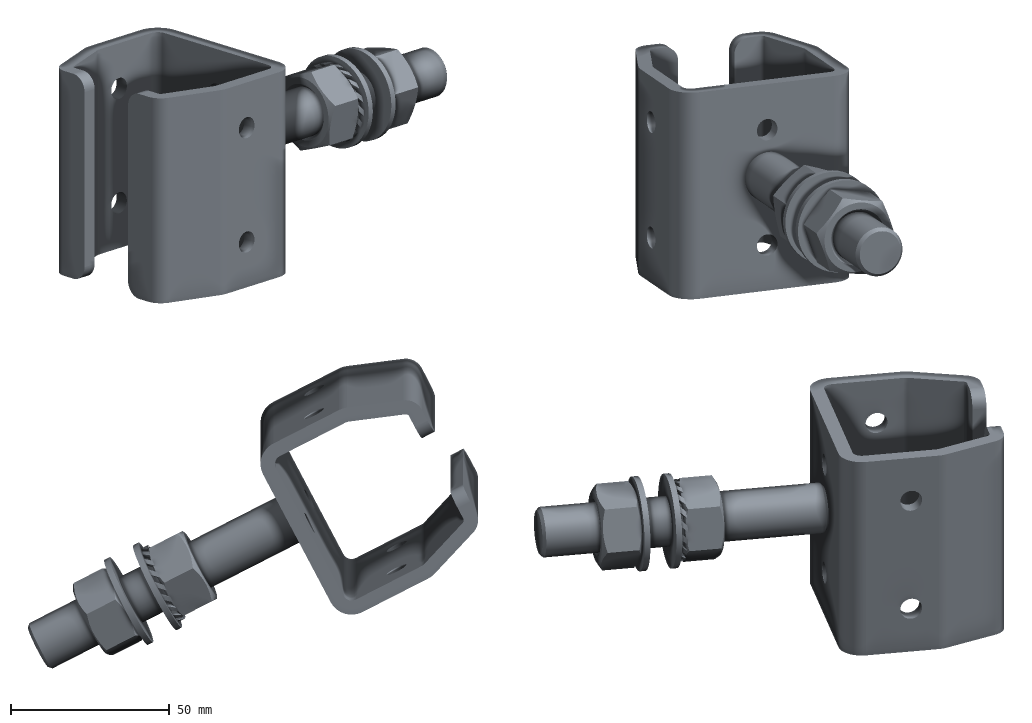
import cadquery as cq
import math


BRACKET_WIDTH = 61.0
BRACKET_DEPTH = 54.0
BRACKET_HEIGHT = 68.0
BRACKET_CENTER_Z = -4.0
SHEET = 4.5
STRAIGHT_SIDE = 32.1
SIDE_LEAN = 20.0
BACK_RADIUS = 7.5
SIDE_RADIUS = 7.5
LIP_RADIUS = 5.7
OPENING = 19.3
LIP_CORNER_RADIUS = 5.0
HOLE_DIAMETER = 7.0
HOLE_SPACING = 38.0
SIDE_HOLE_Y = -21.9

ROD_DIAMETER = 16.0
ROD_LENGTH = 92.0
ROD_CHAMFER = 1.0

NUT_FLATS = 24.0
NUT_FACE_DIAMETER = 22.8
NUT_LENGTH = 13.0
NUT_CHAMFER_ANGLE = 30.0
NUT_COUNTERSINK = 1.2
UPPER_NUT_TURN = 19.5
LOWER_NUT_TURN = 10.0

WASHER_DIAMETER = 30.1
WASHER_THICKNESS = 1.9
LOCK_DIAMETER = 26.0
LOCK_THICKNESS = 1.3
LOCK_TEETH = 18
TOOTH_GAP = 1.8
TOOTH_DEPTH = 1.9
TOOTH_TWIST = 45.0

UPPER_NUT_Y = 60.7
UPPER_WASHER_Y = UPPER_NUT_Y - WASHER_THICKNESS
LOWER_WASHER_Y = 48.6
LOCK_Y = LOWER_WASHER_Y - LOCK_THICKNESS
LOWER_NUT_Y = LOCK_Y - NUT_LENGTH

ROD_RADIUS = ROD_DIAMETER / 2
NUT_FACE_RADIUS = NUT_FACE_DIAMETER / 2
NUT_CORNER_RADIUS = NUT_FLATS / math.sqrt(3)
CORNER_TO_TOP = 30.0
NUT_CHAMFER_SLOPE = math.tan(math.radians(NUT_CHAMFER_ANGLE))


def revolve_about_y(points):
    """Turn a profile of (radius, y) points about the Y axis."""
    profile = [(y, radius) for radius, y in points]
    return cq.Workplane("YZ").polyline(profile).close().revolve(360, (0, 0), (1, 0))


def bracket_block(inset):
    """Solid block with the bracket's outer outline moved inward by inset."""
    half_width = BRACKET_WIDTH / 2
    lean = (BRACKET_DEPTH - STRAIGHT_SIDE) * math.tan(math.radians(SIDE_LEAN))
    right_side = [
        (half_width, 0),
        (half_width, -STRAIGHT_SIDE),
        (half_width - lean, -BRACKET_DEPTH),
    ]
    left_side = [(-x, y) for x, y in reversed(right_side)]
    outline = cq.Workplane("XY", origin=(0, 0, BRACKET_CENTER_Z - BRACKET_HEIGHT / 2))
    outline = outline.polyline(right_side + left_side).close()
    if inset > 0:
        outline = outline.offset2D(-inset, "intersection")
    block = outline.extrude(BRACKET_HEIGHT)
    block = block.edges("|Z").edges(">>Y[1]").fillet(SIDE_RADIUS - inset)
    block = block.edges("|Z").edges(">Y").fillet(BACK_RADIUS - inset)
    return block.edges("|Z").edges("<Y").fillet(LIP_RADIUS - inset)


def make_bracket():
    bracket = bracket_block(0).cut(bracket_block(SHEET))

    opening = cq.Workplane("XY").box(OPENING, 2 * SHEET, 2 * BRACKET_HEIGHT)
    bracket = bracket.cut(opening.translate((0, -BRACKET_DEPTH, BRACKET_CENTER_Z)))
    lip_zone = cq.selectors.BoxSelector(
        (-OPENING, -BRACKET_DEPTH - SHEET, -BRACKET_HEIGHT),
        (OPENING, -BRACKET_DEPTH + SHEET, BRACKET_HEIGHT),
    )
    bracket = bracket.edges("|Y").edges(lip_zone).fillet(LIP_CORNER_RADIUS)

    for z in (BRACKET_CENTER_Z - HOLE_SPACING / 2, BRACKET_CENTER_Z + HOLE_SPACING / 2):
        back_hole = cq.Workplane("XZ", origin=(0, 0, z)).circle(HOLE_DIAMETER / 2).extrude(2 * SHEET)
        side_hole = cq.Workplane("YZ", origin=(0, SIDE_HOLE_Y, z)).circle(HOLE_DIAMETER / 2)
        bracket = bracket.cut(back_hole).cut(side_hole.extrude(BRACKET_WIDTH, both=True))
    return bracket


def make_rod():
    return revolve_about_y([
        (0, 0),
        (ROD_RADIUS - ROD_CHAMFER, 0),
        (ROD_RADIUS, ROD_CHAMFER),
        (ROD_RADIUS, ROD_LENGTH - ROD_CHAMFER),
        (ROD_RADIUS - ROD_CHAMFER, ROD_LENGTH),
        (0, ROD_LENGTH),
    ])


def make_nut(start_y, turn):
    """Hexagon nut, corners chamfered and bore countersunk at both ends."""
    end_y = start_y + NUT_LENGTH
    chamfer = (NUT_CORNER_RADIUS - NUT_FACE_RADIUS) * NUT_CHAMFER_SLOPE
    envelope = revolve_about_y([
        (ROD_RADIUS + NUT_COUNTERSINK, start_y),
        (NUT_FACE_RADIUS, start_y),
        (NUT_CORNER_RADIUS, start_y + chamfer),
        (NUT_CORNER_RADIUS, end_y - chamfer),
        (NUT_FACE_RADIUS, end_y),
        (ROD_RADIUS + NUT_COUNTERSINK, end_y),
        (ROD_RADIUS, end_y - NUT_COUNTERSINK),
        (ROD_RADIUS, start_y + NUT_COUNTERSINK),
    ])
    hexagon = cq.Workplane("XZ", origin=(0, end_y, 0)).polygon(6, 2 * NUT_CORNER_RADIUS)
    hexagon = hexagon.extrude(NUT_LENGTH).rotate((0, 0, 0), (0, 1, 0), CORNER_TO_TOP + turn)
    return hexagon.intersect(envelope)


def make_washer(start_y):
    end_y = start_y + WASHER_THICKNESS
    return revolve_about_y([
        (ROD_RADIUS, start_y),
        (WASHER_DIAMETER / 2, start_y),
        (WASHER_DIAMETER / 2, end_y),
        (ROD_RADIUS, end_y),
    ])


def make_lock_washer():
    """Toothed washer; its rim follows the nut's corner chamfer and carries twisted teeth."""
    rim_radius = LOCK_DIAMETER / 2
    rim_drop = (rim_radius - NUT_FACE_RADIUS) * NUT_CHAMFER_SLOPE
    washer = revolve_about_y([
        (ROD_RADIUS, LOCK_Y),
        (NUT_FACE_RADIUS, LOCK_Y),
        (rim_radius, LOCK_Y - rim_drop),
        (rim_radius, LOWER_WASHER_Y),
        (ROD_RADIUS, LOWER_WASHER_Y),
    ])
    gap = cq.Workplane("XY").box(TOOTH_GAP, LOCK_DIAMETER / 3, 2 * TOOTH_DEPTH)
    gap = gap.rotate((0, 0, 0), (0, 0, 1), -TOOTH_TWIST)
    gap = gap.translate((0, LOCK_Y + LOCK_THICKNESS / 2, rim_radius))
    for tooth in range(LOCK_TEETH):
        washer = washer.cut(gap.rotate((0, 0, 0), (0, 1, 0), tooth * 360 / LOCK_TEETH))
    return washer


bracket = make_bracket()
rod = make_rod()
nuts = [
    make_nut(start_y, turn)
    for start_y, turn in ((UPPER_NUT_Y, UPPER_NUT_TURN), (LOWER_NUT_Y, LOWER_NUT_TURN))
]
washers = [make_washer(start_y) for start_y in (UPPER_WASHER_Y, LOWER_WASHER_Y)]
lock_washer = make_lock_washer()

result = cq.Compound.makeCompound([
    bracket.val(),
    rod.val(),
    *[nut.val() for nut in nuts],
    *[washer.val() for washer in washers],
    lock_washer.val(),
])